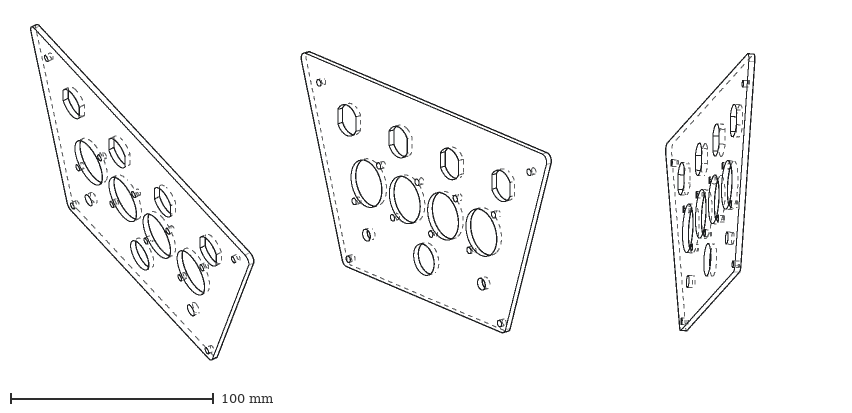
import cadquery as cq
import math

width = 191.8
height = 103.0
thickness = 3.0
corner_radius = 3.5
side_lean = math.radians(18.4)

switch_count = 4
switch_pitch = 40.0
switch_z = 25.5
switch_diameter = 16.0
switch_flat_width = 14.0

connector_count = 4
connector_pitch = 30.0
connector_z = -3.5
connector_diameter = 24.0
connector_screw_dx = 9.5
connector_screw_dz = 12.0
connector_screw_diameter = 3.3

bottom_row_z = -30.5
centre_hole_diameter = 16.0
side_hole_diameter = 6.0
side_hole_x = 1.5 * connector_pitch

mount_diameter = 3.3
upper_mount_x = 82.0
upper_mount_z = 39.0
lower_mount_x = 59.0
lower_mount_z = -47.2


def row_positions(count, pitch, z):
    """Points of a horizontal row centred on X = 0."""
    return [((i - (count - 1) / 2) * pitch, z) for i in range(count)]


def mirrored_pair(x, z):
    return [(-x, z), (x, z)]


def face_sketch():
    return cq.Workplane("XZ", origin=(0, -thickness / 2, 0))


def make_plate():
    upper_corner_angle = math.pi / 2 - side_lean
    tangent_length = corner_radius / math.tan(upper_corner_angle / 2)
    top_half = width / 2 - corner_radius + tangent_length
    bottom_half = top_half - height * math.tan(side_lean)
    outline = [
        (-top_half, height / 2),
        (top_half, height / 2),
        (bottom_half, -height / 2),
        (-bottom_half, -height / 2),
    ]
    plate = face_sketch().polyline(outline).close().extrude(-thickness)
    return plate.edges("|Y").fillet(corner_radius)


def round_cutters(points, diameter):
    return face_sketch().pushPoints(points).circle(diameter / 2).extrude(-thickness)


def switch_cutters():
    points = row_positions(switch_count, switch_pitch, switch_z)
    flats = face_sketch().pushPoints(points).rect(switch_flat_width, switch_diameter).extrude(-thickness)
    return round_cutters(points, switch_diameter).intersect(flats)


connectors = row_positions(connector_count, connector_pitch, connector_z)
connector_screws = [
    (x + side * connector_screw_dx, z + side * connector_screw_dz)
    for x, z in connectors
    for side in (-1, 1)
]
mounts = mirrored_pair(upper_mount_x, upper_mount_z) + mirrored_pair(lower_mount_x, lower_mount_z)

result = (
    make_plate()
    .cut(switch_cutters())
    .cut(round_cutters(connectors, connector_diameter))
    .cut(round_cutters(connector_screws, connector_screw_diameter))
    .cut(round_cutters([(0, bottom_row_z)], centre_hole_diameter))
    .cut(round_cutters(mirrored_pair(side_hole_x, bottom_row_z), side_hole_diameter))
    .cut(round_cutters(mounts, mount_diameter))
)